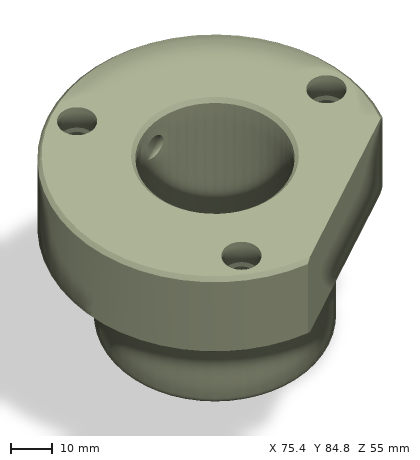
import cadquery as cq
import math

flange_radius = 42.4
flange_height = 25.0
flat_distance = 33.0
flange_chamfer = 1.0
total_height = 55.0
spigot_radius = 28.95
spigot_round = 2.0
spigot_shoulder_chamfer = 0.8
relief_radius = spigot_radius - spigot_shoulder_chamfer
relief_height = 1.3

bore_radius = 19.0
bore_chamfer = 1.0

screw_circle_radius = 35.0
screw_count = 3
first_screw_angle = 180.0
screw_diameter = 6.6
counterbore_diameter = 9.6
counterbore_depth = 6.8

side_hole_diameter = 6.6
side_hole_drop = 9.0
side_hole_angle = 160.0


def make_flange():
    disc = (
        cq.Workplane("XY")
        .circle(flange_radius)
        .extrude(-flange_height)
        .faces("<Z or >Z")
        .chamfer(flange_chamfer)
    )
    beyond_flat = cq.Workplane("XY").box(
        flange_radius, 2 * flange_radius, 2 * flange_height, centered=(False, True, True)
    ).translate((flat_distance, 0, 0))
    return disc.cut(beyond_flat)


def make_spigot():
    spigot_height = total_height - flange_height - relief_height
    spigot = (
        cq.Workplane("XY")
        .workplane(offset=-total_height)
        .circle(spigot_radius)
        .extrude(spigot_height)
        .faces("<Z")
        .edges()
        .fillet(spigot_round)
        .faces(">Z")
        .chamfer(spigot_shoulder_chamfer)
    )
    relief = (
        cq.Workplane("XY")
        .workplane(offset=-flange_height)
        .circle(relief_radius)
        .extrude(-relief_height)
    )
    return spigot.union(relief)


def cut_bore(body):
    return (
        body.faces(">Z")
        .workplane(origin=(0, 0, 0))
        .hole(2 * bore_radius)
        .faces(">Z")
        .edges(cq.selectors.RadiusNthSelector(0))
        .chamfer(bore_chamfer)
    )


def cut_screw_holes(body):
    return (
        body.faces(">Z")
        .workplane(origin=(0, 0, 0))
        .polarArray(screw_circle_radius, first_screw_angle, 360, screw_count)
        .cboreHole(screw_diameter, counterbore_diameter, counterbore_depth)
    )


def cut_side_hole(body):
    angle = math.radians(side_hole_angle)
    outward = cq.Vector(math.cos(angle), math.sin(angle), 0)
    mouth = outward * flange_radius + cq.Vector(0, 0, -side_hole_drop)
    drill = cq.Solid.makeCylinder(side_hole_diameter / 2, flange_radius, mouth, outward * -1)
    return body.cut(cq.Workplane(obj=drill))


result = make_flange().union(make_spigot())
result = cut_bore(result)
result = cut_screw_holes(result)
result = cut_side_hole(result)